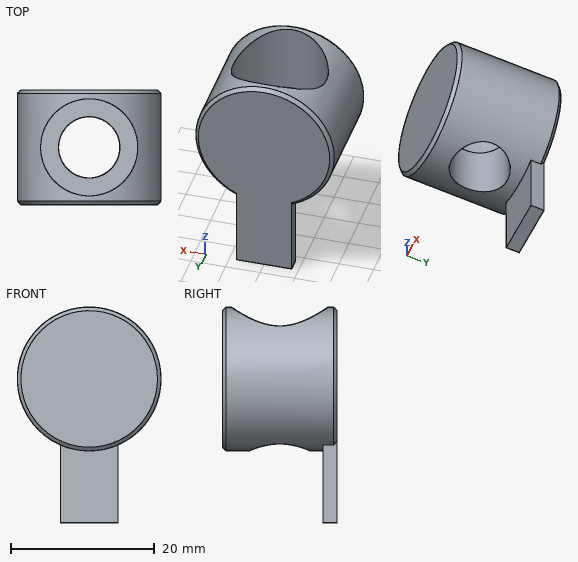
import cadquery as cq

barrel_diameter = 20.0
barrel_length = 16.0
edge_chamfer = 0.5
pocket_diameter = 13.5
pocket_floor_z = 0.0
bore_diameter = 8.5
tab_width = 8.0
tab_thickness = 2.0
overall_height = 30.0

barrel_radius = barrel_diameter / 2
tab_bottom_z = barrel_radius - overall_height
back_y = barrel_length / 2


def make_barrel():
    """Cylinder along Y with both rims chamfered."""
    return (
        cq.Workplane("XZ", origin=(0, back_y, 0))
        .circle(barrel_radius)
        .extrude(barrel_length)
        .faces("<Y or >Y")
        .chamfer(edge_chamfer)
    )


def make_tab():
    """Flat tab hanging down, flush with the back face and rooted inside the barrel."""
    root_z = -barrel_radius / 2
    return (
        cq.Workplane("XY", origin=(0, back_y - tab_thickness / 2, tab_bottom_z))
        .rect(tab_width, tab_thickness)
        .extrude(root_z - tab_bottom_z)
    )


def vertical_hole(diameter, bottom_z):
    """Cutter along Z from bottom_z up to the top of the barrel."""
    return (
        cq.Workplane("XY", origin=(0, 0, bottom_z))
        .circle(diameter / 2)
        .extrude(barrel_radius - bottom_z)
    )


pocket = vertical_hole(pocket_diameter, pocket_floor_z)
bore = vertical_hole(bore_diameter, -barrel_radius)

result = make_barrel().union(make_tab()).cut(pocket).cut(bore)